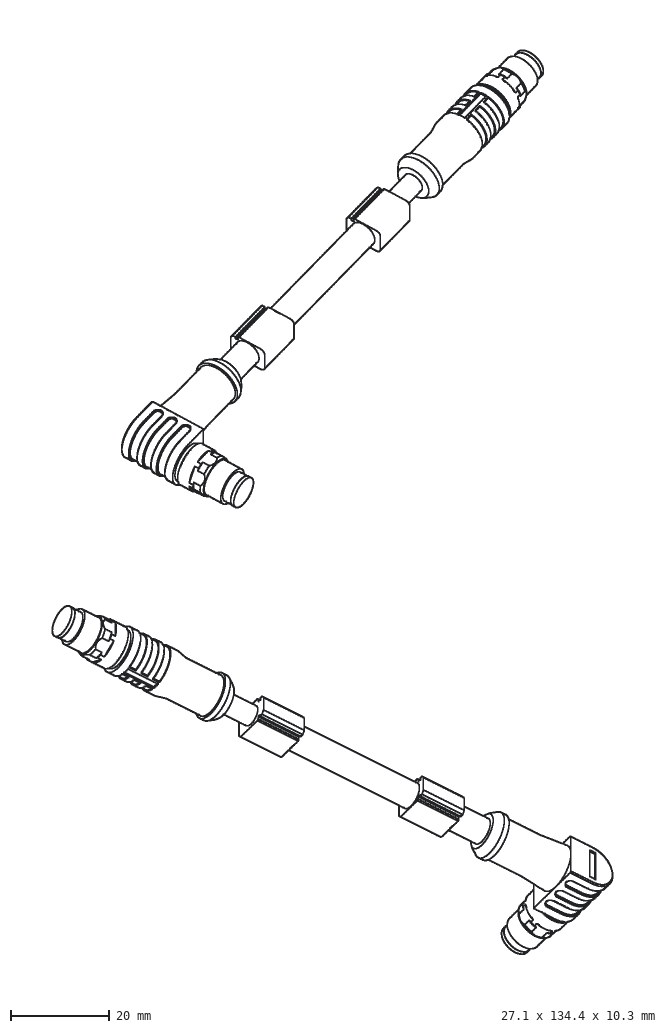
import cadquery as cq

total_length = 134.4
total_width = 27.1
grip_diameter = 10.3
grip_radius = grip_diameter / 2
straight_tip_y = total_length - grip_radius
angled_tip_x = total_width - grip_radius

tip_diameter = 6.9
rim_length = 0.8
tip_neck_diameter = 6.7
tip_length = 2.8
barrel_diameter = 8.0
barrel_end = 7.0
step_diameter = 9.1
step_end = 9.3
step_chamfer_depth = 0.3
step_chamfer_length = 0.7
nose_diameter = 9.5
nose_end = 13.2
nose_neck_diameter = 8.7
neck_end = 14.1
flats_width = 8.7
flats_end = 10.2
flat_count = 6

boot_diameter = 9.3
boot_end_diameter = 7.8
collar_width = 1.2
boot_dome_length = 1.9
boot_dome_bulge = 0.07

grip_end = 26.1
grip_taper_end = 28.5
straight_collar_start = 37.2
ring_groove_depth = 0.3
ring_groove_width = 1.6
ring_groove_first = 16.8
ring_groove_pitch = 3.0
ring_groove_count = 3
rib_half_width = 1.2

panel_depth = 0.4
panel_width = 1.5
panel_length = 7.5
panel_position = ring_groove_first + ring_groove_pitch

body_end_x = angled_tip_x - neck_end
body_top_y = 5.5
body_edge_chamfer = 0.3
flare_end_y = 12.0
angled_collar_start = 21.0
slot_width = 1.9
slot_depth = 0.4
slot_rim_chamfer = 0.1
slot_first_x = -2.2
slot_pitch = 3.5
slot_count = 3
slot_end_y = 4.5

thin_cable_diameter = 4.6
thick_cable_diameter = 5.8

clip_length = 10.2
clip_start_positions = (31.6, 71.6)
clip_half_width = 4.3
clip_half_height = 3.1
clip_round = 1.1
plate_flat = 1.7
plate_shoulder_x = -3.8
plate_shoulder_z = 2.5
clip_slit_left = -3.1
clip_slit_right = -2.4
clip_slit_floor = 2.2
clip_slit_chamfer = 0.3


def turned(steps):
    """Solid of revolution about Y from (y, diameter) steps."""
    outline = [(0, steps[0][0])]
    outline += [(diameter / 2, y) for y, diameter in steps]
    outline.append((0, steps[-1][0]))
    return cq.Workplane("XY").polyline(outline).close().revolve(360, (0, 0), (0, 1))


def rod(diameter, start_y, end_y):
    """Plain cylinder along Y."""
    return turned([(start_y, diameter), (end_y, diameter)])


def ring_cut(outer_diameter, inner_diameter, start_y, end_y):
    """Ring that removes a groove between two diameters."""
    return rod(outer_diameter, start_y, end_y).cut(rod(inner_diameter, start_y, end_y))


def plug_nose(first_flat_angle):
    """Stepped nose along +Y with its tip at Y = 0 and six flats behind the barrel."""
    nose = turned([
        (0, tip_diameter),
        (-rim_length, tip_diameter),
        (-rim_length, tip_neck_diameter),
        (-tip_length, tip_neck_diameter),
        (-tip_length, barrel_diameter),
        (-barrel_end, barrel_diameter),
        (-barrel_end, step_diameter - 2 * step_chamfer_depth),
        (-barrel_end - step_chamfer_length, step_diameter),
        (-step_end, step_diameter),
        (-step_end, nose_diameter),
        (-nose_end, nose_diameter),
        (-nose_end, nose_neck_diameter),
        (-neck_end, nose_neck_diameter),
    ])
    flats_length = flats_end - barrel_end
    flat_cut = cq.Workplane("XY").box(nose_diameter, flats_length, nose_diameter)
    flat_cut = flat_cut.translate((
        (flats_width + nose_diameter) / 2,
        -(flats_end + barrel_end) / 2,
        0,
    ))
    for index in range(flat_count):
        angle = first_flat_angle + index * 360 / flat_count
        nose = nose.cut(flat_cut.rotate((0, 0, 0), (0, 1, 0), angle))
    return nose


def boot_end(collar_y, direction):
    """Collar and domed end of a boot; direction is the sense of Y toward the cable."""
    dome_start_y = collar_y + direction * collar_width
    dome_end_y = dome_start_y + direction * boot_dome_length
    end_radius = boot_end_diameter / 2
    dome_middle = (
        (grip_radius + end_radius) / 2 + boot_dome_bulge,
        (dome_start_y + dome_end_y) / 2 + direction * boot_dome_bulge,
    )
    return (
        cq.Workplane("XY")
        .moveTo(0, collar_y)
        .lineTo(grip_radius, collar_y)
        .lineTo(grip_radius, dome_start_y)
        .threePointArc(dome_middle, (end_radius, dome_end_y))
        .lineTo(0, dome_end_y)
        .close()
        .revolve(360, (0, 0), (0, 1))
    )


def straight_connector():
    """Straight plug along +Y with its tip at Y = 0."""
    body = turned([
        (-neck_end, grip_diameter),
        (-grip_end, grip_diameter),
        (-grip_taper_end, boot_diameter),
        (-straight_collar_start, boot_diameter),
    ])
    groove_floor = grip_diameter - 2 * ring_groove_depth
    ribs = cq.Workplane("XY").box(2 * rib_half_width, 2 * panel_position, 2 * grip_diameter)
    ribs = ribs.translate((0, -panel_position, 0))
    for index in range(ring_groove_count):
        middle = ring_groove_first + index * ring_groove_pitch
        groove = ring_cut(
            grip_diameter,
            groove_floor,
            -middle - ring_groove_width / 2,
            -middle + ring_groove_width / 2,
        )
        body = body.cut(groove.cut(ribs))
    panel = cq.Workplane("XY").box(panel_width, panel_length, panel_depth)
    for side in (1, -1):
        panel_z = side * (grip_radius - panel_depth / 2)
        body = body.cut(panel.translate((0, -panel_position, panel_z)))
    return plug_nose(0).union(body).union(boot_end(-straight_collar_start, -1))


def body_block(radius):
    """Block along X whose -Y side is a half round of the given radius."""
    return (
        cq.Workplane("YZ", origin=(-grip_radius, 0, 0))
        .moveTo(body_top_y, -radius)
        .lineTo(0, -radius)
        .threePointArc((-radius, 0), (0, radius))
        .lineTo(body_top_y, radius)
        .close()
        .extrude(body_end_x + grip_radius)
    )


def grip_slot(middle_x):
    """Round-ended slot running off the -Y side, before its floor is removed."""
    slot_radius = slot_width / 2
    straight_end_y = slot_end_y - slot_radius
    return (
        cq.Workplane("XY", origin=(0, 0, -grip_diameter))
        .moveTo(middle_x - slot_radius, -grip_diameter)
        .lineTo(middle_x - slot_radius, straight_end_y)
        .threePointArc((middle_x, slot_end_y), (middle_x + slot_radius, straight_end_y))
        .lineTo(middle_x + slot_radius, -grip_diameter)
        .close()
        .extrude(2 * grip_diameter)
    )


def angled_connector():
    """Right-angle plug: block at the origin, nose along +X, boot along +Y."""
    block = body_block(grip_radius)
    block = block.faces("<X").edges("not >Y").chamfer(body_edge_chamfer)
    slot_floor = body_block(grip_radius - slot_depth)
    for index in range(slot_count):
        slot = grip_slot(slot_first_x + index * slot_pitch)
        block = block.cut(slot.cut(slot_floor))
    block = block.faces(">Z").edges("%CIRCLE").chamfer(slot_rim_chamfer)
    panel = cq.Workplane("XY").box(panel_depth, panel_width, panel_length)
    block = block.cut(panel.translate((-grip_radius + panel_depth / 2, 0, 0)))
    boot = turned([
        (body_top_y, grip_diameter),
        (flare_end_y, boot_diameter),
        (angled_collar_start, boot_diameter),
    ])
    nose_turn = 360 / flat_count / 2
    nose = plug_nose(nose_turn).rotate((0, 0, 0), (0, 0, 1), -90)
    nose = nose.translate((angled_tip_x, 0, 0))
    return block.union(boot).union(nose).union(boot_end(angled_collar_start, 1))


def marker_clip(start_y):
    """Clip around the cable: rounded on +X, with a slit label plate on -X."""
    upper = [
        (-clip_half_width, plate_flat),
        (plate_shoulder_x, plate_shoulder_z),
        (clip_slit_left, plate_shoulder_z),
        (clip_slit_left, clip_slit_floor),
        (clip_slit_right, clip_slit_floor),
        (clip_slit_right, clip_half_height - clip_slit_chamfer),
        (clip_slit_right + clip_slit_chamfer, clip_half_height),
        (clip_half_width, clip_half_height),
    ]
    lower = [(x, -z) for x, z in reversed(upper)]
    clip = cq.Workplane("XZ").polyline(upper + lower).close().extrude(-clip_length)
    clip = clip.edges("|Y and >X").fillet(clip_round)
    return clip.translate((0, start_y, 0))


cable_step_y = clip_start_positions[-1]
straight_boot_y = straight_tip_y - straight_collar_start
result = straight_connector().translate((0, straight_tip_y, 0))
result = result.union(angled_connector())
result = result.union(rod(thick_cable_diameter, angled_collar_start, cable_step_y))
result = result.union(rod(thin_cable_diameter, cable_step_y, straight_boot_y))
for clip_start in clip_start_positions:
    result = result.union(marker_clip(clip_start))